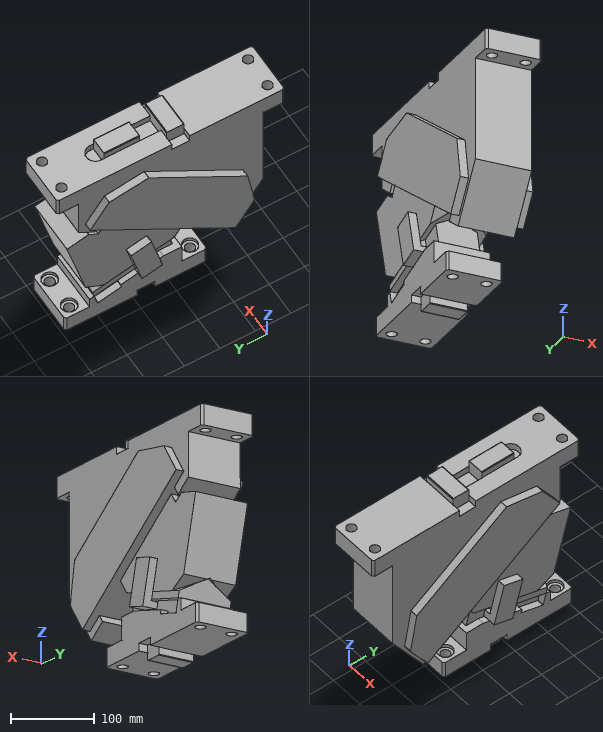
import cadquery as cq
import math

mount_height = 275.2
body_width = 75.0
overall_width = 97.0
corner_chamfer = 3.0

key_width = 25.0
key_length = 50.0
key_proud = 10.0
key_chamfer = 1.0
bolt_diameter = 13.5
bolt_inset = 15.0

upper_length = 320.0
upper_thickness = 27.5
holder_body_length = 260.0
cross_key_y = -13.8
long_key_outer_y = 78.7
long_slot_end_y = 96.0

slide_angle = 35.0
slide_y = 120.3
slide_z = 200.0
side_plate_length = 250.0
side_plate_height = 86.7
side_plate_cut = 40.0
upper_stop_end_u = 25.0
upper_stop_depth = 14.0
lower_stop_start_u = 225.0
lower_stop_end_u = 255.5
lower_stop_depth = 12.0

driver_angle = 15.0
driver_y = 110.5
driver_z = 51.2
driver_length = 115.2
ridge_angle = 30.0
neck_width = 55.0
neck_depth = 32.0
rail_thickness = 9.3
rail_length = 84.8
ledge_depth = 22.7
pocket_depth = 27.5
pocket_length = 35.2

lower_length = 200.0
lower_outer_y = 149.0
lower_thickness = 25.0
pedestal_outer_y = 114.5
pedestal_length = 130.0
pedestal_height = 54.5
lower_key_y = 35.0
counterbore_diameter = 21.0
counterbore_depth = 4.8

slider_gap = 1.3
slider_start_u = 34.2
slider_end_u = 170.0
notch_depth = 17.3
slider_outer_s = -4.8
slider_outer_top_t = 120.5
notch_start_s = 27.0
slider_bevel_length = 21.0
slider_bevel_height = 20.0
pad_width = 55.0
groove_length = 160.0
hook_start_s = 60.0
hook_width = 30.0
hook_top_t = 40.3
hook_bottom_t = -20.0
hook_foot_top_t = -11.0
hook_inner_width = 56.3


def slide_point(u, v):
    """(Y, Z) of a point given in the slideway frame."""
    cosine = math.cos(math.radians(slide_angle))
    sine = math.sin(math.radians(slide_angle))
    return (slide_y - u * cosine - v * sine, slide_z - u * sine + v * cosine)


def driver_point(s, t):
    """(Y, Z) of a point given in the driver-face frame."""
    cosine = math.cos(math.radians(driver_angle))
    sine = math.sin(math.radians(driver_angle))
    return (driver_y - s * cosine + t * sine, driver_z + s * sine + t * cosine)


def height_over_driver(y, z):
    """Distance of a (Y, Z) point from the driver face."""
    angle = math.radians(driver_angle)
    return (y - driver_y) * math.sin(angle) + (z - driver_z) * math.cos(angle)


def profile(points, x_start, x_end):
    """Prism with a (Y, Z) outline between two X positions."""
    return cq.Workplane("YZ", origin=(x_start, 0, 0)).polyline(points).close().extrude(x_end - x_start)


def centred_profile(points, width):
    return profile(points, -width / 2, width / 2)


def block(x_size, y_start, y_end, z_start, z_end):
    """Block centred on X."""
    return (
        cq.Workplane("XY", origin=(0, (y_start + y_end) / 2, z_start))
        .box(x_size, y_end - y_start, z_end - z_start, centered=(True, True, False))
    )


def driver_block(x_start, x_end, s_start, s_end, t_start, t_end):
    """Block aligned with the driver face."""
    corners = [(s_start, t_start), (s_end, t_start), (s_end, t_end), (s_start, t_end)]
    return profile([driver_point(s, t) for s, t in corners], x_start, x_end)


def bolt_points(y_start, y_end):
    x = body_width / 2 - bolt_inset
    return [(side * x, y) for side in (-1, 1) for y in (y_start + bolt_inset, y_end - bolt_inset)]


def ridged_bar(width, s_start, s_end, depth):
    """Bar along the driver with a roof-shaped top, reaching down to a depth below the driver face.

    The roof starts from the driver face at the sides of the body, so a narrower bar has higher sides.
    """
    slope = math.tan(math.radians(ridge_angle))
    half_width = width / 2
    peak = slope * body_width / 2
    shoulder = peak - slope * half_width
    start = cq.Vector(0, *driver_point(s_start, 0))
    end = cq.Vector(0, *driver_point(s_end, 0))
    plane = cq.Plane(origin=start, xDir=(1, 0, 0), normal=end - start)
    outline = [
        (-half_width, -depth),
        (half_width, -depth),
        (half_width, shoulder),
        (0, peak),
        (-half_width, shoulder),
    ]
    return cq.Workplane(plane).polyline(outline).close().extrude((end - start).Length)


def make_holder():
    top = mount_height
    plate_bottom = top - upper_thickness
    slot_floor = top - key_proud
    half_length = upper_length / 2
    half_body = holder_body_length / 2

    plate = block(body_width, -half_length, half_length, plate_bottom, top)
    plate = plate.edges("|Z").chamfer(corner_chamfer)
    holes = (
        cq.Workplane("XY", origin=(0, 0, plate_bottom))
        .pushPoints(bolt_points(-half_length, half_length))
        .circle(bolt_diameter / 2)
        .extrude(upper_thickness)
    )

    sine = math.sin(math.radians(slide_angle))
    cosine = math.cos(math.radians(slide_angle))
    outer_stop_u = (slide_y - half_body + upper_stop_depth * sine) / cosine
    lower_side_v = (slide_y + half_body - lower_stop_end_u * cosine) / sine
    body = centred_profile(
        [
            (-half_body, top),
            (half_body, top),
            slide_point(outer_stop_u, -upper_stop_depth),
            slide_point(upper_stop_end_u, -upper_stop_depth),
            slide_point(upper_stop_end_u, 0),
            slide_point(lower_stop_start_u, 0),
            slide_point(lower_stop_start_u, -lower_stop_depth),
            slide_point(lower_stop_end_u, -lower_stop_depth),
            slide_point(lower_stop_end_u, lower_side_v),
        ],
        body_width,
    )

    side_plates = centred_profile(
        [
            slide_point(0, 0),
            slide_point(0, side_plate_height - side_plate_cut),
            slide_point(side_plate_cut, side_plate_height),
            slide_point(side_plate_length - side_plate_cut, side_plate_height),
            slide_point(side_plate_length, side_plate_height - side_plate_cut),
            slide_point(side_plate_length, 0),
        ],
        overall_width,
    )
    holder = plate.cut(holes).union(body).union(side_plates)

    cross_start = cross_key_y - key_width / 2
    cross_end = cross_key_y + key_width / 2
    round_y = long_slot_end_y - key_width / 2
    cross_slot = block(body_width, cross_start, cross_end, slot_floor, top)
    long_slot = block(key_width, cross_end, round_y, slot_floor, top)
    round_end = cq.Workplane("XY", origin=(0, round_y, slot_floor)).circle(key_width / 2).extrude(key_proud)
    holder = holder.cut(cross_slot).cut(long_slot).cut(round_end)

    key_top = top + key_proud
    cross_key = block(key_length, cross_start, cross_end, slot_floor, key_top)
    long_key = block(key_width, long_key_outer_y - key_length, long_key_outer_y, slot_floor, key_top)
    cross_key = cross_key.edges(">Z and |X").chamfer(key_chamfer)
    long_key = long_key.edges(">Z and |Y").chamfer(key_chamfer)
    return holder.union(cross_key).union(long_key)


def make_slider():
    end_height = height_over_driver(*slide_point(slider_end_u, 0))
    end_height /= math.cos(math.radians(slide_angle + driver_angle))
    slider = centred_profile(
        [
            driver_point(slider_outer_s, slider_outer_top_t),
            driver_point(notch_start_s, slider_outer_top_t),
            slide_point(slider_start_u, -notch_depth),
            slide_point(slider_start_u, -slider_gap),
            slide_point(slider_end_u, -slider_gap),
            slide_point(slider_end_u, -end_height),
            driver_point(slider_outer_s + slider_bevel_length, 0),
            driver_point(slider_outer_s, slider_bevel_height),
        ],
        body_width,
    )
    pad = centred_profile(
        [
            slide_point(slider_start_u, -slider_gap),
            slide_point(slider_start_u, 0),
            slide_point(slider_end_u, 0),
            slide_point(slider_end_u, -slider_gap),
        ],
        pad_width,
    )
    groove = ridged_bar(body_width, slider_outer_s, slider_outer_s + groove_length, rail_thickness)
    slider = slider.union(pad).cut(groove)

    hook_end_s = hook_start_s + hook_width
    for side in (-1, 1):
        wall_x = side * body_width / 2
        inner_x = side * hook_inner_width / 2
        outer_x = side * overall_width / 2
        arm = driver_block(wall_x, outer_x, hook_start_s, hook_end_s, hook_bottom_t, hook_top_t)
        foot = driver_block(inner_x, outer_x, hook_start_s, hook_end_s, hook_bottom_t, hook_foot_top_t)
        slider = slider.union(arm).union(foot)
    return slider


def make_driver():
    plate_start = lower_outer_y - lower_length
    pedestal_inner_y = pedestal_outer_y - pedestal_length
    plate = block(body_width, plate_start, lower_outer_y, 0, lower_thickness)
    plate = plate.edges("|Z").chamfer(corner_chamfer)
    bolts = (
        cq.Workplane("XY", origin=(0, 0, lower_thickness))
        .pushPoints(bolt_points(plate_start, lower_outer_y))
    )
    holes = bolts.circle(bolt_diameter / 2).extrude(-lower_thickness)
    counterbores = bolts.circle(counterbore_diameter / 2).extrude(-counterbore_depth)

    tilt = math.tan(math.radians(driver_angle))
    rail_y, rail_z = driver_point(0, -rail_thickness)
    ledge_y, ledge_z = driver_point(0, -ledge_depth)
    pedestal_points = [
        (pedestal_inner_y, 0),
        (pedestal_outer_y, 0),
        (pedestal_outer_y, rail_z - (pedestal_outer_y - rail_y) * tilt),
        (rail_y, rail_z),
        driver_point(0, -pocket_depth),
        driver_point(pocket_length, -pocket_depth),
        driver_point(pocket_length, -ledge_depth),
        (ledge_y - (pedestal_height - ledge_z) / tilt, pedestal_height),
        (pedestal_inner_y, pedestal_height),
    ]
    pedestal = centred_profile(pedestal_points, body_width)
    neck = ridged_bar(neck_width, 0, driver_length, neck_depth)
    rails = ridged_bar(body_width, 0, rail_length, rail_thickness)
    driver = plate.cut(holes).cut(counterbores).union(pedestal).union(neck).union(rails)

    slot_start = lower_key_y - key_width / 2
    slot_end = lower_key_y + key_width / 2
    driver = driver.cut(block(body_width, slot_start, slot_end, 0, key_proud))
    key = block(key_length, slot_start, slot_end, -key_proud, key_proud)
    key = key.edges("<Z and |X").chamfer(key_chamfer)
    return driver.union(key)


holder = make_holder()
slider = make_slider()
driver = make_driver()
result = cq.Compound.makeCompound([holder.val(), slider.val(), driver.val()])